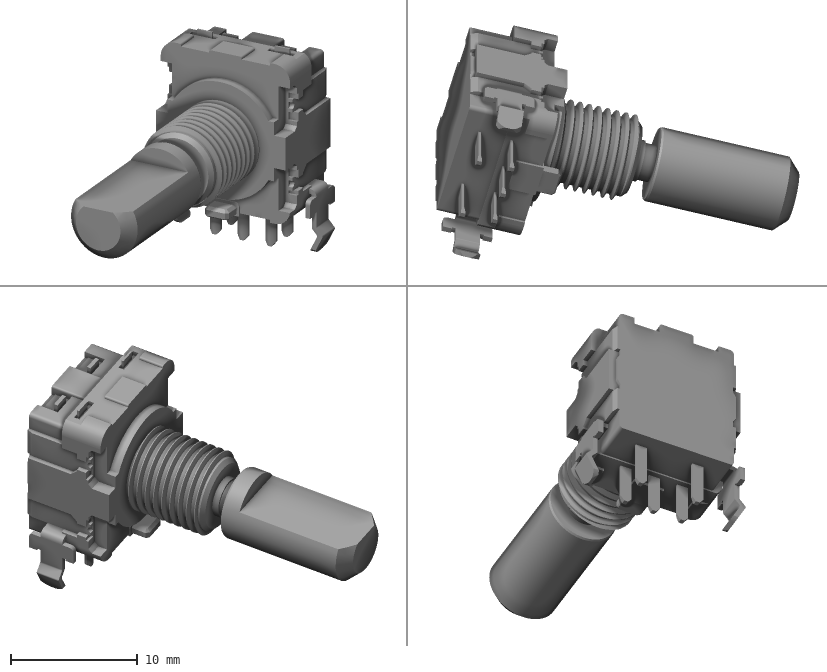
import cadquery as cq
import math


EDGE_TOLERANCE = 0.05

BOSS_DEPTH = 0.78
NOTCH_FLOOR = 1.9
HOOK_FRONT = 2.1
FRAME_BACK = 2.9
HEAD_BACK = 4.3
LEG_BACK = 7.38
BODY_BACK = 7.75
OVERALL_LENGTH = 27.75

HALF_WIDTH = 5.83
FRAME_TOP = 7.15
FRAME_BOTTOM = -6.52
CORNER_RADIUS = 1.4
RECESS_TOP = 6.95
RECESS_BOTTOM = -6.27
RECESS_HALF_WIDTH = 4.0
CENTRE_HALF_WIDTH = 1.47
RAISED_EDGE_RADIUS = 0.17
BOSS_RADIUS = 5.0
BOSS_HALF_BAND = 2.53

REAR_HALF_WIDTH = 5.05
REAR_TOP = 5.9
CENTRE_TOP = 6.15
REAR_BOTTOM = -6.13
REAR_CORNER_RADIUS = 0.33
PANEL_HALF_WIDTH = 5.45
PANEL_TOP = 4.45
PANEL_BOTTOM = -4.25
PANEL_BEVEL = 0.2
PANEL_BEVEL_LENGTH = 0.53
LEG_HALF_HEIGHT = 2.08
KEY_NOTCH_DEPTH = 0.28
KEY_HALF_ROOT = 1.58
KEY_HALF_TIP = 1.15

WINDOW_OFFSET = 3.35
NOTCH_HEIGHT = 3.95
NOTCH_BEVEL = 0.33
NOTCH_INNER_X = 4.8
SLOT_INNER_X = 5.05
SLOT_FRONT = 1.7
GAP_HEIGHT = 1.15
POCKET_RADIUS = 0.28
GUSSET_LENGTH = 0.58
GUSSET_HEIGHT = 0.53

POCKET_OUTER_X = 3.72
POCKET_FRONT = 5.88
POCKET_FLOOR = 5.45
POCKET_LIP = 0.33
POCKET_LIP_DROP = 0.15
REAR_STUB_X = 2.6
REAR_STUB_WIDTH = 1.3
REAR_STUB_FRONT = 6.15
STUB_THICKNESS = 0.33
STUB_SLOT_X = 3.5
STUB_SLOT_WIDTH = 2.3
STUB_SLOT_FRONT = 3.35
STUB_SLOT_LENGTH = 0.5
STUB_SLOT_DEPTH = 0.42
FRONT_STUB_WIDTH = 1.33
FRONT_STUB_THICKNESS = 0.17
FRONT_STUB_TOP = 7.3

PIN_PITCH = 2.5
PIN_WIDTH = 0.97
PIN_THICKNESS = 0.42
PIN_CROWN = 0.22
PIN_TIP_WIDTH = 0.33
PIN_EMBEDMENT = 0.28
PIN_TIP_LENGTH = 0.4
FRONT_PIN_Y = 3.45
REAR_PIN_Y = 6.08
FRONT_PIN_BOTTOM = -9.82
PART_BOTTOM = -10.0

CLIP_THICKNESS = 0.42
CLIP_INNER_RADIUS = 0.15
CLIP_OUTER_RADIUS = CLIP_INNER_RADIUS + CLIP_THICKNESS
CLIP_SHOULDER_RADIUS = 0.4
CLIP_CENTRE_Y = 4.88
CLIP_ARM_WIDTH = 2.0
CLIP_SHOULDER_WIDTH = 4.05
CLIP_SHOULDER_TOP = -4.97
CLIP_SHOULDER_BOTTOM = -6.47
CLIP_RELIEF_WIDTH = 0.3
CLIP_RELIEF_HEIGHT = 0.17
CLIP_ARC_RISE = 0.45
CLIP_ROOT = (5.13, -4.6)
CLIP_BEND = (6.27, -4.6)
CLIP_KNEE = (6.27, -7.65)
CLIP_ELBOW = (6.83, -8.27)
CLIP_END = (6.02, -9.88)

TAB_HALF_WIDTH = 1.08
TAB_TOP = -5.55
TAB_BOTTOM = -6.4
TAB_LENGTH = 0.83
TAB_CHAMFER = 0.25
TAB_BOTTOM_CHAMFER = 0.1
TAB_ROOT_HALF_WIDTH = 1.3
TAB_ROOT_TOP = -5.35
TAB_ROOT_LENGTH = 0.1
TAB_ROOT_RADIUS = 0.42

BUSHING_LENGTH = 7.0
BUSHING_RADIUS = 3.08
BUSHING_CHAMFER = 0.33
THREAD_RADIUS = 3.5
THREAD_PITCH = 0.75
THREAD_ROOT_WIDTH = 0.5
THREAD_CREST_WIDTH = 0.08
THREAD_OVERLAP = 0.05
THREAD_START = 0.7
THREAD_TURNS = 10
THREAD_END = 6.5

NECK_RADIUS = 1.66
NECK_END = 7.55
GROOVE_RADIUS = 1.5
SHAFT_START = 8.5
SHAFT_RADIUS = 3.0
SHAFT_START_CHAMFER_LENGTH = 0.17
SHAFT_START_CHAMFER = 0.08
SHAFT_TIP = OVERALL_LENGTH - BODY_BACK
SHAFT_TIP_CHAMFER = 1.0
FLAT_START = 10.02
FLAT_HEIGHT = 1.5


def box(x_range, y_range, z_range):
    """Block spanning the given ranges."""
    size = [high - low for low, high in (x_range, y_range, z_range)]
    corner = (x_range[0], y_range[0], z_range[0])
    return cq.Workplane("XY").box(*size, centered=False).translate(corner)


def centred(middle, width):
    """Range of the given width around its middle."""
    return (middle - width / 2, middle + width / 2)


def front_profile(y):
    """Sketch plane at depth y, from which extrusions run forward towards -Y."""
    return cq.Workplane("XZ", origin=(0, y, 0))


def both_sides(half):
    """The feature together with its mirror image across the YZ plane."""
    return half.union(half.mirror("YZ"))


def centred_block(half_width, z_range, y_range):
    """Block reaching the given half width to each side of the YZ plane."""
    return box((-half_width, half_width), y_range, z_range)


def along_y_near(point, reach):
    """Selector of the edges along Y that pass within reach of a point (x, z)."""
    x, z = point
    nearby = cq.selectors.BoxSelector(
        (x - reach, 0, z - reach), (x + reach, BODY_BACK, z + reach)
    )
    return cq.selectors.AndSelector(cq.selectors.ParallelDirSelector(cq.Vector(0, 1, 0)), nearby)


def front_frame():
    """Rounded head, stepped down behind the frame and between its raised corners."""
    head = centred_block(HALF_WIDTH, (FRAME_BOTTOM, FRAME_TOP), (BOSS_DEPTH, HEAD_BACK))
    head = head.edges("|Y").fillet(CORNER_RADIUS)
    full_x = (-HALF_WIDTH, HALF_WIDTH)
    recess_x = (-RECESS_HALF_WIDTH, RECESS_HALF_WIDTH)
    above = (RECESS_TOP, FRAME_TOP)
    below = (FRAME_BOTTOM, RECESS_BOTTOM)
    head = head.cut(box(full_x, (FRAME_BACK, HEAD_BACK), above))
    head = head.cut(box(full_x, (FRAME_BACK, HEAD_BACK), below))
    head = head.cut(box(recess_x, (BOSS_DEPTH, HEAD_BACK), below))
    recess = box((CENTRE_HALF_WIDTH, RECESS_HALF_WIDTH), (BOSS_DEPTH, FRAME_BACK), above)
    head = head.cut(both_sides(recess))
    for x in (-RECESS_HALF_WIDTH, -CENTRE_HALF_WIDTH, CENTRE_HALF_WIDTH, RECESS_HALF_WIDTH):
        rim = along_y_near((x, FRAME_TOP), EDGE_TOLERANCE)
        head = head.edges(rim).fillet(RAISED_EDGE_RADIUS)
    return head


def face_boss():
    """Round boss of the mounting face with a straight band across the full width."""
    disc = front_profile(BOSS_DEPTH).circle(BOSS_RADIUS).extrude(BOSS_DEPTH)
    band = box(
        (-HALF_WIDTH, HALF_WIDTH), (0, BOSS_DEPTH), (-BOSS_HALF_BAND, BOSS_HALF_BAND)
    )
    return disc.union(band)


def rear_body():
    """Rear body with a raised centre block, side panels, side legs and keyed notches behind them."""
    depth = (HEAD_BACK, BODY_BACK)
    body = centred_block(REAR_HALF_WIDTH, (REAR_BOTTOM, REAR_TOP), depth)
    body = body.edges("|Y").fillet(REAR_CORNER_RADIUS)
    block = box((-CENTRE_HALF_WIDTH, CENTRE_HALF_WIDTH), depth, (0, CENTRE_TOP))
    body = body.union(block.edges("|Y and >Z").fillet(RAISED_EDGE_RADIUS))

    panel_outline = [
        (0, HEAD_BACK),
        (PANEL_HALF_WIDTH, HEAD_BACK),
        (PANEL_HALF_WIDTH, BODY_BACK - PANEL_BEVEL_LENGTH),
        (PANEL_HALF_WIDTH - PANEL_BEVEL, BODY_BACK),
        (0, BODY_BACK),
    ]
    panel = cq.Workplane("XY", origin=(0, 0, PANEL_BOTTOM)).polyline(panel_outline).close()
    panel = panel.extrude(PANEL_TOP - PANEL_BOTTOM)
    body = body.union(both_sides(panel))

    key_tip = PANEL_HALF_WIDTH - PANEL_BEVEL
    key_root = key_tip - KEY_NOTCH_DEPTH
    leg_z = (-LEG_HALF_HEIGHT, LEG_HALF_HEIGHT)
    key_outline = [
        (key_root, -KEY_HALF_ROOT),
        (key_tip, -KEY_HALF_TIP),
        (key_tip, KEY_HALF_TIP),
        (key_root, KEY_HALF_ROOT),
    ]
    key = front_profile(BODY_BACK).polyline(key_outline).close().extrude(BODY_BACK - LEG_BACK)
    key_notch = box((key_root, HALF_WIDTH), (LEG_BACK, BODY_BACK), leg_z).cut(key)
    leg = box((key_root, HALF_WIDTH), (HEAD_BACK, LEG_BACK), leg_z)
    return body.cut(both_sides(key_notch)).union(both_sides(leg))


def side_window(z):
    """Cutter for one notch in the right edge of the face and the window behind it."""
    half = NOTCH_HEIGHT / 2
    notch_outline = [
        (0, z - half),
        (NOTCH_FLOOR - NOTCH_BEVEL, z - half),
        (NOTCH_FLOOR, z - half + NOTCH_BEVEL),
        (NOTCH_FLOOR, z + half - NOTCH_BEVEL),
        (NOTCH_FLOOR - NOTCH_BEVEL, z + half),
        (0, z + half),
    ]
    side = cq.Workplane("YZ", origin=(NOTCH_INNER_X, 0, 0))
    cutter = side.polyline(notch_outline).close().extrude(HALF_WIDTH - NOTCH_INNER_X)

    leg_edge = math.copysign(LEG_HALF_HEIGHT, z)
    window_z = (leg_edge, PANEL_TOP) if z > 0 else (PANEL_BOTTOM, leg_edge)
    gap_z = centred(z, GAP_HEIGHT)
    outside = (PANEL_HALF_WIDTH, HALF_WIDTH)
    gusset_outline = [
        (FRAME_BACK, leg_edge),
        (FRAME_BACK + GUSSET_LENGTH, leg_edge),
        (FRAME_BACK, leg_edge + math.copysign(GUSSET_HEIGHT, z)),
    ]
    panel_side = cq.Workplane("YZ", origin=(PANEL_HALF_WIDTH, 0, 0))
    gusset = panel_side.polyline(gusset_outline).close().extrude(HALF_WIDTH - PANEL_HALF_WIDTH)
    cutter = cutter.union(box(outside, (FRAME_BACK, HEAD_BACK), window_z).cut(gusset))
    cutter = cutter.union(box(outside, (NOTCH_FLOOR, FRAME_BACK), gap_z))

    slot_x = (SLOT_INNER_X, HALF_WIDTH)
    slot_y = (SLOT_FRONT, HOOK_FRONT)
    cutter = cutter.union(box(slot_x, slot_y, (window_z[0], gap_z[0])))
    cutter = cutter.union(box(slot_x, slot_y, (gap_z[1], window_z[1])))
    pocket = cq.Workplane("YZ", origin=(SLOT_INNER_X, NOTCH_FLOOR, z)).circle(POCKET_RADIUS)
    return cutter.union(pocket.extrude(HALF_WIDTH - SLOT_INNER_X))


def top_terminal_pockets():
    """Cutter for the two rear pockets and the two front slots in the top."""
    pocket_x = (CENTRE_HALF_WIDTH, POCKET_OUTER_X)
    lip_front = BODY_BACK - POCKET_LIP
    pocket = box(pocket_x, (POCKET_FRONT, BODY_BACK), (POCKET_FLOOR, REAR_TOP))
    lip = box(pocket_x, (lip_front, BODY_BACK), (POCKET_FLOOR - POCKET_LIP_DROP, POCKET_FLOOR))
    slot = box(
        centred(STUB_SLOT_X, STUB_SLOT_WIDTH),
        (STUB_SLOT_FRONT, STUB_SLOT_FRONT + STUB_SLOT_LENGTH),
        (RECESS_TOP - STUB_SLOT_DEPTH, RECESS_TOP),
    )
    return both_sides(pocket.union(lip).union(slot))


def top_terminal_stubs():
    """Cut ends of the terminal strip, standing in the top pockets and slots."""
    rear = box(
        centred(REAR_STUB_X, REAR_STUB_WIDTH),
        (REAR_STUB_FRONT, REAR_STUB_FRONT + STUB_THICKNESS),
        (POCKET_FLOOR, CENTRE_TOP),
    )
    slot_back = STUB_SLOT_FRONT + STUB_SLOT_LENGTH
    front = box(
        centred(STUB_SLOT_X, FRONT_STUB_WIDTH),
        (slot_back - FRONT_STUB_THICKNESS, slot_back),
        (RECESS_TOP - STUB_SLOT_DEPTH, FRONT_STUB_TOP),
    )
    return both_sides(rear.union(front))


def terminal_pin(x, y, bottom):
    """Pin with a flat back, a crowned front starting at y and a tapered tip."""
    half = PIN_WIDTH / 2
    back = y + PIN_THICKNESS
    top = RECESS_BOTTOM + PIN_EMBEDMENT
    pin = (
        cq.Workplane("XY", origin=(x, 0, bottom))
        .moveTo(-half, back)
        .lineTo(-half, y + PIN_CROWN)
        .threePointArc((0, y), (half, y + PIN_CROWN))
        .lineTo(half, back)
        .close()
        .extrude(top - bottom)
    )
    taper_start = bottom + PIN_TIP_LENGTH
    outline = [
        (x - half, top),
        (x - half, taper_start),
        (x - PIN_TIP_WIDTH / 2, bottom),
        (x + PIN_TIP_WIDTH / 2, bottom),
        (x + half, taper_start),
        (x + half, top),
    ]
    return pin.intersect(front_profile(back).polyline(outline).close().extrude(PIN_THICKNESS))


def strip_outline(path, thickness):
    """Outline of a bent strip of even thickness around a centre path."""
    angles = [math.atan2(b[1] - a[1], b[0] - a[0]) for a, b in zip(path, path[1:])]
    left, right = [], []
    for index, (x, z) in enumerate(path):
        before = angles[max(index - 1, 0)]
        after = angles[min(index, len(angles) - 1)]
        normal = (before + after) / 2 + math.pi / 2
        reach = thickness / 2 / math.cos((after - before) / 2)
        offset_x = reach * math.cos(normal)
        offset_z = reach * math.sin(normal)
        left.append((x + offset_x, z + offset_z))
        right.append((x - offset_x, z - offset_z))
    return left + right[::-1]


def spring_clip():
    """Bent spring clip on the right side, with a wide shoulder and a round end."""
    arm = CLIP_ARM_WIDTH / 2
    shoulder = CLIP_SHOULDER_WIDTH / 2
    path = [CLIP_ROOT, CLIP_BEND, CLIP_KNEE, CLIP_ELBOW, CLIP_END]
    strip = front_profile(CLIP_CENTRE_Y).polyline(strip_outline(path, CLIP_THICKNESS)).close()
    strip = strip.extrude(shoulder, both=True)
    half = CLIP_THICKNESS / 2
    outer_bend = (CLIP_BEND[0] + half, CLIP_BEND[1] + half)
    inner_bend = (CLIP_BEND[0] - half, CLIP_BEND[1] - half)
    strip = strip.edges(along_y_near(outer_bend, half)).fillet(CLIP_OUTER_RADIUS)
    strip = strip.edges(along_y_near(inner_bend, half)).fillet(CLIP_INNER_RADIUS)
    for corner in (CLIP_KNEE, CLIP_ELBOW):
        strip = strip.edges(along_y_near(corner, CLIP_THICKNESS)).fillet(CLIP_INNER_RADIUS)

    side = cq.Workplane("YZ", origin=(0, CLIP_CENTRE_Y, 0))
    reach = HALF_WIDTH * 2
    arm_sides = PART_BOTTOM + CLIP_ARC_RISE
    silhouette = (
        side.moveTo(-arm, CLIP_SHOULDER_BOTTOM + CLIP_RELIEF_HEIGHT)
        .lineTo(-arm, arm_sides)
        .threePointArc((0, PART_BOTTOM), (arm, arm_sides))
        .lineTo(arm, 0)
        .lineTo(-arm, 0)
        .close()
        .extrude(reach)
    )
    plate = box(
        (0, reach),
        centred(CLIP_CENTRE_Y, CLIP_SHOULDER_WIDTH),
        (CLIP_SHOULDER_BOTTOM, CLIP_SHOULDER_TOP),
    )
    plate = plate.edges("|X and >Z").fillet(CLIP_SHOULDER_RADIUS)
    for y in (CLIP_CENTRE_Y - arm - CLIP_RELIEF_WIDTH, CLIP_CENTRE_Y + arm):
        relief_z = (CLIP_SHOULDER_BOTTOM, CLIP_SHOULDER_BOTTOM + CLIP_RELIEF_HEIGHT)
        plate = plate.cut(box((0, reach), (y, y + CLIP_RELIEF_WIDTH), relief_z))
    inner_part = box((0, HALF_WIDTH), (0, BODY_BACK), (PART_BOTTOM, 0))
    return strip.intersect(silhouette.union(plate.cut(inner_part)))


def locating_tab():
    """Anti-rotation tab below the bushing, on a slightly wider root."""
    tab = box((-TAB_HALF_WIDTH, TAB_HALF_WIDTH), (-TAB_LENGTH, BOSS_DEPTH), (TAB_BOTTOM, TAB_TOP))
    tab = tab.edges("|Z and <Y").chamfer(TAB_CHAMFER)
    tab = tab.faces(">Z").chamfer(TAB_CHAMFER)
    tab = tab.faces("<Z").chamfer(TAB_BOTTOM_CHAMFER)
    root = box(
        (-TAB_ROOT_HALF_WIDTH, TAB_ROOT_HALF_WIDTH),
        (BOSS_DEPTH - TAB_ROOT_LENGTH, FRAME_BACK),
        (FRAME_BOTTOM, TAB_ROOT_TOP),
    )
    return tab.union(root.edges("|Y and >Z").fillet(TAB_ROOT_RADIUS))


def bushing_and_shaft():
    """Turned bushing and shaft, with the shaft flat cut away on top."""
    outline = [
        (0, BOSS_DEPTH),
        (BUSHING_RADIUS, BOSS_DEPTH),
        (BUSHING_RADIUS, BUSHING_CHAMFER - BUSHING_LENGTH),
        (BUSHING_RADIUS - BUSHING_CHAMFER, -BUSHING_LENGTH),
        (NECK_RADIUS, -BUSHING_LENGTH),
        (NECK_RADIUS, -NECK_END),
        (GROOVE_RADIUS, -NECK_END),
        (GROOVE_RADIUS, -SHAFT_START),
        (SHAFT_RADIUS - SHAFT_START_CHAMFER, -SHAFT_START),
        (SHAFT_RADIUS, -SHAFT_START - SHAFT_START_CHAMFER_LENGTH),
        (SHAFT_RADIUS, SHAFT_TIP_CHAMFER - SHAFT_TIP),
        (SHAFT_RADIUS - SHAFT_TIP_CHAMFER, -SHAFT_TIP),
        (0, -SHAFT_TIP),
    ]
    turned = cq.Workplane("XY").polyline(outline).close().revolve(360, (0, 0, 0), (0, 1, 0))
    flat = box(
        (-SHAFT_RADIUS, SHAFT_RADIUS), (-SHAFT_TIP, -FLAT_START), (FLAT_HEIGHT, SHAFT_RADIUS)
    )
    return turned.cut(flat)


def thread():
    """Right-handed thread ridge, starting inside the boss and running towards the tip."""
    helix = cq.Wire.makeHelix(THREAD_PITCH, THREAD_PITCH * THREAD_TURNS, BUSHING_RADIUS)
    root_radius = BUSHING_RADIUS - THREAD_OVERLAP
    ridge_outline = [
        (root_radius, -THREAD_ROOT_WIDTH / 2),
        (THREAD_RADIUS, -THREAD_CREST_WIDTH / 2),
        (THREAD_RADIUS, THREAD_CREST_WIDTH / 2),
        (root_radius, THREAD_ROOT_WIDTH / 2),
    ]
    ridge = cq.Workplane("XZ").polyline(ridge_outline).close().sweep(helix, isFrenet=True)
    ridge = ridge.rotate((0, 0, 0), (1, 0, 0), 90).translate((0, THREAD_START, 0))
    beyond = front_profile(-THREAD_END).circle(2 * THREAD_RADIUS).extrude(2 * THREAD_PITCH)
    return ridge.cut(beyond)


housing = front_frame().union(face_boss()).union(rear_body())
for height in (-WINDOW_OFFSET, WINDOW_OFFSET):
    housing = housing.cut(both_sides(side_window(height)))
housing = housing.cut(top_terminal_pockets()).union(top_terminal_stubs())

for pin_x in (-PIN_PITCH, 0, PIN_PITCH):
    housing = housing.union(terminal_pin(pin_x, FRONT_PIN_Y, FRONT_PIN_BOTTOM))
for pin_x in (-PIN_PITCH, PIN_PITCH):
    housing = housing.union(terminal_pin(pin_x, REAR_PIN_Y, PART_BOTTOM))

housing = housing.union(both_sides(spring_clip())).union(locating_tab())
result = housing.union(bushing_and_shaft().union(thread()))